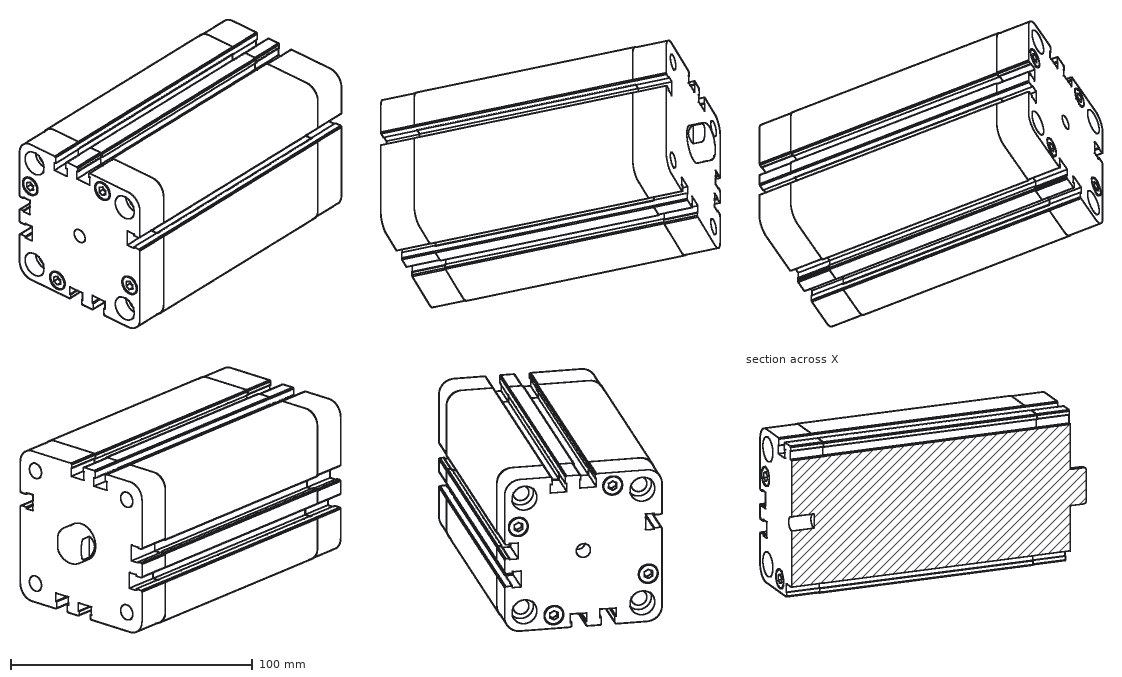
import cadquery as cq
import math


cap_side = 66.9
barrel_side = 67.0
housing_length = 125.7
cap_length = 14.75
cap_corner_radius = 6.5
barrel_corner_radius = 6.2

deep_slot_offset = -10.5
shallow_slot_offset = 2.0
cap_slot_width = 7.0
slot_lip_chamfer = 0.5

cap_deep_slot = dict(neck=5.7, width=cap_slot_width, lip=3.3, depth=7.0)
cap_shallow_slot = dict(neck=6.1, width=cap_slot_width, lip=2.1, depth=5.8)
barrel_deep_slot = dict(neck=5.7, width=6.6, lip=3.3, depth=6.6)
barrel_shallow_slot = dict(neck=5.3, width=6.8, lip=2.1, depth=5.8)

face_turns = (0, 1, 2, 3)
shallow_slot_turns = (0, 1, 2)

mounting_hole_offset = 25.05
mounting_hole_diameter = 6.65
mounting_counterbore_diameter = 10.5
mounting_counterbore_depth = 6.5

screw_along_face = 12.5
screw_from_center = 27.6
screw_bore_diameter = 8.25
screw_head_diameter = 7.8
screw_gap_depth = 0.5
hex_across_flats = 3.5
hex_depth = 2.5

center_hole_diameter = 6.0
center_hole_depth = 10.0

rod_diameter = 16.0
rod_length = 7.3
rod_tip_fillet = 1.5
rod_across_flats = 13.0
rod_flat_length = 5.1


def front_plane(y):
    """Sketch plane at the given y: local x is X, local y is Z, the normal is -Y."""
    return cq.Plane(origin=(0, y, 0), xDir=(1, 0, 0), normal=(0, -1, 0))


def extrude_back(sketch, length):
    """Extrude a sketch on a front plane toward +Y."""
    return sketch.extrude(-length)


def turned(body, quarter_turns):
    """Turn a body counterclockwise as seen from the front."""
    return body.rotate((0, 0, 0), (0, 1, 0), -90 * quarter_turns)


def t_slot(offset, half_side, y, length, neck, width, lip, depth):
    """Cutter for a T-slot in the top face with chamfered lip edges."""
    half_neck = neck / 2
    half_width = width / 2
    half_mouth = half_neck + slot_lip_chamfer
    right_edge = [
        (half_mouth, half_side),
        (half_neck, half_side - slot_lip_chamfer),
        (half_neck, half_side - lip),
        (half_width, half_side - lip),
        (half_width, half_side - depth),
    ]
    left_edge = [(-x, z) for x, z in reversed(right_edge)]
    outline = [(offset + x, z) for x, z in right_edge + left_edge]
    return extrude_back(cq.Workplane(front_plane(y)).polyline(outline).close(), length)


def housing_section(side, y, length, corner_radius, deep_slot, shallow_slot):
    """One length of the square profile with its slots."""
    section = extrude_back(cq.Workplane(front_plane(y)).rect(side, side), length)
    section = section.edges("|Y").fillet(corner_radius)
    for turn in face_turns:
        section = section.cut(turned(t_slot(deep_slot_offset, side / 2, y, length, **deep_slot), turn))
    for turn in shallow_slot_turns:
        section = section.cut(turned(t_slot(shallow_slot_offset, side / 2, y, length, **shallow_slot), turn))
    return section


def housing():
    barrel_length = housing_length - 2 * cap_length
    rear_cap_y = housing_length - cap_length
    body = housing_section(
        barrel_side,
        cap_length,
        barrel_length,
        barrel_corner_radius,
        barrel_deep_slot,
        barrel_shallow_slot,
    )
    for y in (0, rear_cap_y):
        cap = housing_section(cap_side, y, cap_length, cap_corner_radius, cap_deep_slot, cap_shallow_slot)
        body = body.union(cap)
    return body


def round_holes(points, diameter, depth):
    """Cutter for round holes sunk into the front face."""
    return extrude_back(cq.Workplane(front_plane(0)).pushPoints(points).circle(diameter / 2), depth)


def mounting_holes():
    signs = (-1, 1)
    corners = [(x * mounting_hole_offset, z * mounting_hole_offset) for x in signs for z in signs]
    bores = round_holes(corners, mounting_hole_diameter, housing_length)
    counterbores = round_holes(corners, mounting_counterbore_diameter, mounting_counterbore_depth)
    return bores.union(counterbores)


def screw_recesses():
    """Cutter for the ring gaps and hex sockets of the cap screws, one near each side face."""
    u = screw_along_face
    v = screw_from_center
    centers = [(u, v), (-v, u), (-u, -v), (v, -u)]
    bores = round_holes(centers, screw_bore_diameter, screw_gap_depth)
    heads = round_holes(centers, screw_head_diameter, screw_gap_depth)
    recesses = bores.cut(heads)
    hex_across_corners = hex_across_flats / math.cos(math.pi / 6)
    for x, z in centers:
        hexagon = cq.Workplane(front_plane(0)).center(x, z).transformed(rotate=(0, 0, 90))
        recesses = recesses.union(extrude_back(hexagon.polygon(6, hex_across_corners), hex_depth))
    return recesses


def piston_rod():
    """Rod end with two flats facing -X and +X that run out at 45 degrees."""
    tip_y = housing_length + rod_length
    rod_radius = rod_diameter / 2
    half_flats = rod_across_flats / 2
    flat_end_y = tip_y - rod_flat_length
    runout = rod_radius - half_flats
    rod = extrude_back(cq.Workplane(front_plane(housing_length)).circle(rod_radius), rod_length)
    rod = rod.faces(">Y").edges().fillet(rod_tip_fillet)
    for sign in (-1, 1):
        outline = [
            (sign * half_flats, tip_y),
            (sign * half_flats, flat_end_y),
            (sign * (half_flats + runout), flat_end_y - runout),
            (sign * (half_flats + runout), tip_y),
        ]
        flat = cq.Workplane("XY").polyline(outline).close().extrude(rod_radius, both=True)
        rod = rod.cut(flat)
    return rod


result = housing().cut(mounting_holes())
result = result.cut(round_holes([(0, 0)], center_hole_diameter, center_hole_depth))
result = result.cut(screw_recesses())
result = result.union(piston_rod())